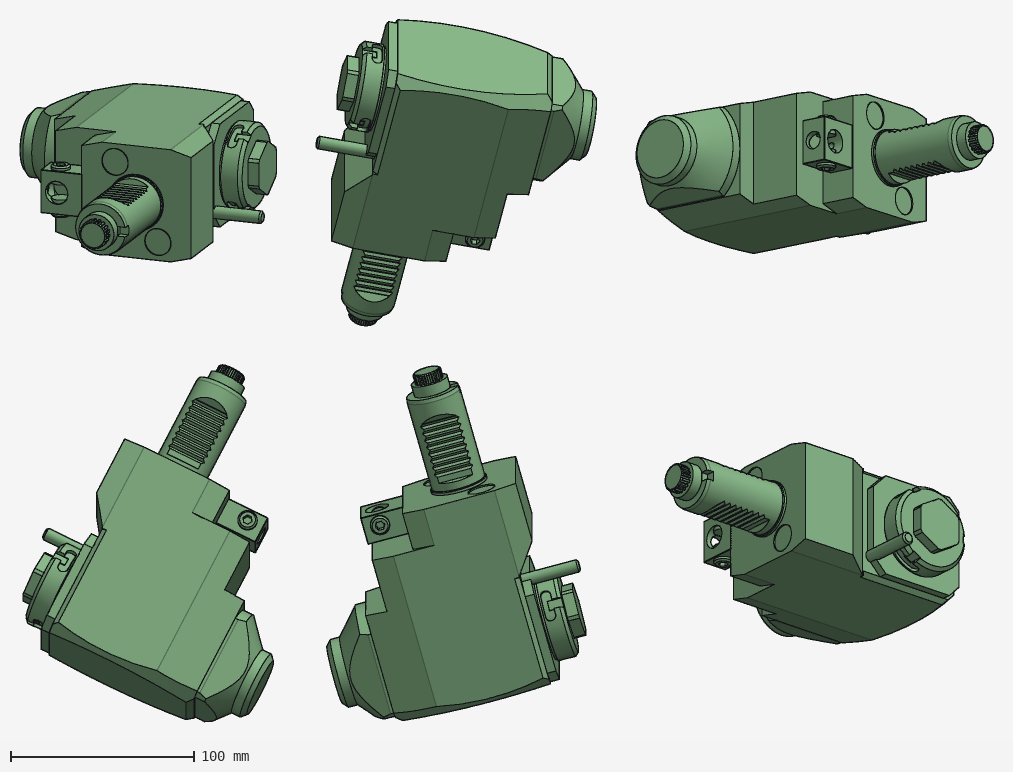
import cadquery as cq
import math


HALF_HEIGHT = 32.0
RIDGE_SLOPE = math.tan(math.radians(15))
BACK_Y = 115.0
SEAT_HALF_WIDTH = 32.0
SEAT_RIDGE_X = 20.0
SEAT_DEPTH = 21.0
LEFT_X = -67.0
MID_LEFT_X = -55.0
LEFT_RIDGE_X = -43.0
MID_STEP_Y = 51.0
RIGHT_X = 20.0
SHOULDER_LOW_Y = 33.7
SHOULDER_HIGH_Y = 50.3
BACK_CORNER = 3.3
RIGHT_BEVEL = 2.7
CROWN_RADIUS = 135.2
CROWN_X = -12.8
CROWN_EDGE_Z = 29.3
CROWN_LENGTH = 20.0
PLUG_RADIUS = 7.6
PLUG_X = 12.5
PLUG_Z = 21.5
PLUG_RECESS = 0.8

SPINDLE_Y = 85.0
HEAD_RADIUS = 34.0
HEAD_RIM_X = -73.0
HEAD_BACK_Y = 110.8
HEAD_STRIP = 1.7
HEAD_STEP = 0.2
NOSE_RADIUS = 19.2
NOSE_BASE_X = -86.0
NOSE_END_X = -94.0
NOSE_CHAMFER = 3.0
NOSE_CHAMFER_DEPTH = 2.8

PLATE_END_X = 25.0
PLATE_HALF_HEIGHT = 29.4
PLATE_FLAT_TOP_Y = 107.7
PLATE_FLAT_BOTTOM_Y = 62.8
PLATE_TOP_Y = 114.6
PLATE_BOTTOM_Y = 53.9
COLLAR_RADIUS = 24.4
COLLAR_END_X = 38.0
COLLAR_CHAMFER = 2.0
RELIEF_WIDTH = 1.2
RELIEF_DEPTH = 1.0
BAYONET_COUNT = 3
BAYONET_FIRST_ANGLE = 30.0
BAYONET_X = 30.0
BAYONET_WIDTH = 5.6
BAYONET_LENGTH = 17.3
BAYONET_DEPTH = 2.0
BAYONET_EXIT_WIDTH = 5.4
BAYONET_EXIT_DEPTH = 2.6
NUT_ACROSS_FLATS = 27.0
NUT_ROUND_RADIUS = 15.0
NUT_END_X = 44.4
PIN_RADIUS = 3.5
PIN_Y = 56.3
PIN_Z = -19.1
PIN_END_X = 52.38
PIN_CHAMFER = 1.0

BLOCK_LEFT_X = -56.0
BLOCK_Y_MIN = 0.6
BLOCK_Y_MAX = 16.0
BLOCK_HALF_HEIGHT = 12.3
BLOCK_EDGE = 0.3
SCREW_X = -46.7
SCREW_Y = 7.0
SCREW_RADIUS = 5.3
SCREW_TOP_Z = 14.6
SCREW_INNER_Z = 4.3
SCREW_CHAMFER = 1.0
SOCKET_WIDTH = 4.6
SOCKET_DEPTH = 4.0
OUTLET_RADIUS = 6.5
OUTLET_DEPTH = 13.0
SIDE_PORT_Y = 8.5
SIDE_PORT_RADIUS = 4.9
FEED_RADIUS = 1.8

RING_RADIUS = 15.8
RING_LENGTH = 1.9
RING_CHAMFER = 0.5
SHANK_RADIUS = 15.0
SHANK_END_Y = -55.0
SHANK_CHAMFER = 0.5
SHANK_CHAMFER_LENGTH = 2.2
NECK_RADIUS = 10.2
NECK_END_Y = -61.3
SPLINE_RADIUS = 7.9
SPLINE_ROOT_RADIUS = 7.0
SPLINE_TEETH = 18
SPLINE_END_Y = -67.0
SPLINE_CHAMFER = 0.9
KEY_HALF_WIDTH = 2.7
KEY_START_Y = -50.8
KEY_FLOOR_X = 9.8
RACK_FLAT_Z = 11.6
RACK_START_Y = -6.8
RACK_START_LEAN = 0.6
RACK_RAMP_Y = -41.4
RACK_GROOVES = 8
RACK_PITCH = 4.0
RACK_FIRST_Y = -11.7
RACK_GROOVE_HALF = 1.4
RACK_GROOVE_DEPTH = 1.2


def cylinder_x(radius, x_start, x_end, y=SPINDLE_Y, z=0.0):
    return cq.Workplane("YZ", origin=(x_start, y, z)).circle(radius).extrude(x_end - x_start)


def cylinder_y(radius, y_start, y_end, x=0.0, z=0.0):
    """Cylinder from y_start towards a lower y_end."""
    return cq.Workplane("XZ", origin=(x, y_start, z)).circle(radius).extrude(y_start - y_end)


def roof_bar(left_x, left_ridge_x, y_min, y_max, drop=0.0):
    """Bar along Y whose roof and floor fall at the ridge slope beyond the two ridges."""
    right_x = SEAT_HALF_WIDTH
    left_z = HALF_HEIGHT - (left_ridge_x - left_x) * RIDGE_SLOPE - drop
    right_z = HALF_HEIGHT - (right_x - SEAT_RIDGE_X) * RIDGE_SLOPE - drop
    top_z = HALF_HEIGHT - drop
    upper = [(left_x, left_z), (left_ridge_x, top_z), (SEAT_RIDGE_X, top_z), (right_x, right_z)]
    lower = [(x, -z) for x, z in reversed(upper)]
    bar = cq.Workplane("XZ", origin=(0, y_max, 0)).polyline(upper + lower).close()
    return bar.extrude(y_max - y_min)


def crown(side):
    """Conical body that bounds the back edge of the roof (side 1) or floor (side -1)."""
    centre_z = side * (CROWN_EDGE_Z - CROWN_RADIUS)
    profile = [
        (0, BACK_Y),
        (CROWN_RADIUS, BACK_Y),
        (CROWN_RADIUS + CROWN_LENGTH, BACK_Y - CROWN_LENGTH),
        (CROWN_RADIUS + CROWN_LENGTH, 0),
        (0, 0),
    ]
    cone = cq.Workplane("XY").polyline(profile).close().revolve(360, (0, 0, 0), (0, 1, 0))
    return cone.translate((CROWN_X, 0, centre_z))


def make_housing():
    outline = [
        (MID_LEFT_X, SEAT_DEPTH),
        (SEAT_HALF_WIDTH, SEAT_DEPTH),
        (SEAT_HALF_WIDTH, SHOULDER_LOW_Y),
        (RIGHT_X, SHOULDER_HIGH_Y),
        (RIGHT_X, BACK_Y),
        (LEFT_X + BACK_CORNER, BACK_Y),
        (LEFT_X, BACK_Y - BACK_CORNER),
        (LEFT_X, MID_STEP_Y),
        (MID_LEFT_X, MID_STEP_Y),
    ]
    plan = cq.Workplane("XY").workplane(offset=-HALF_HEIGHT).polyline(outline).close()
    upper = plan.extrude(2 * HALF_HEIGHT)
    upper = upper.intersect(roof_bar(LEFT_X, LEFT_RIDGE_X, SEAT_DEPTH, BACK_Y))
    for side in (1, -1):
        upper = upper.intersect(crown(side))
        bevel = [
            (RIGHT_X - RIGHT_BEVEL, side * HALF_HEIGHT),
            (RIGHT_X, side * HALF_HEIGHT),
            (RIGHT_X, side * (HALF_HEIGHT - RIGHT_BEVEL)),
        ]
        strip = cq.Workplane("XZ", origin=(0, BACK_Y, 0)).polyline(bevel).close()
        upper = upper.cut(strip.extrude(BACK_Y - MID_STEP_Y))
    seat = roof_bar(-SEAT_HALF_WIDTH, -SEAT_RIDGE_X, 0, SEAT_DEPTH)
    housing = upper.union(seat)
    for side in (1, -1):
        plug = cylinder_y(PLUG_RADIUS, PLUG_RECESS, 0, -side * PLUG_X, side * PLUG_Z)
        housing = housing.cut(plug)
    return housing


def make_head():
    cone_profile = [
        (LEFT_X, 0),
        (LEFT_X, HEAD_RADIUS),
        (HEAD_RIM_X, HEAD_RADIUS),
        (NOSE_BASE_X, NOSE_RADIUS),
        (NOSE_BASE_X, 0),
    ]
    head = cq.Workplane("XY").polyline(cone_profile).close().revolve(360, (0, 0, 0), (1, 0, 0))
    head = head.translate((0, SPINDLE_Y, 0))
    head = head.intersect(roof_bar(NOSE_BASE_X, LEFT_RIDGE_X, 0, HEAD_BACK_Y, HEAD_STEP))
    strip_z = HALF_HEIGHT - HEAD_STEP - (LEFT_RIDGE_X - LEFT_X + HEAD_STRIP) * RIDGE_SLOPE
    slab_height = HALF_HEIGHT - strip_z
    slab = cq.Workplane("XY").box(HEAD_STRIP, BACK_Y, slab_height, centered=False)
    slab = slab.translate((LEFT_X - HEAD_STRIP, 0, strip_z))
    head = head.cut(slab).cut(slab.mirror("XY"))
    nose = cylinder_x(NOSE_RADIUS, NOSE_END_X, NOSE_BASE_X)
    nose = nose.faces("<X").chamfer(NOSE_CHAMFER_DEPTH, NOSE_CHAMFER)
    return head.union(nose)


def make_plate():
    top_z = PLATE_HALF_HEIGHT - (PLATE_TOP_Y - PLATE_FLAT_TOP_Y)
    bottom_z = PLATE_HALF_HEIGHT - (PLATE_FLAT_BOTTOM_Y - PLATE_BOTTOM_Y)
    upper = [
        (PLATE_BOTTOM_Y, bottom_z),
        (PLATE_FLAT_BOTTOM_Y, PLATE_HALF_HEIGHT),
        (PLATE_FLAT_TOP_Y, PLATE_HALF_HEIGHT),
        (PLATE_TOP_Y, top_z),
    ]
    lower = [(y, -z) for y, z in reversed(upper)]
    plate = cq.Workplane("YZ", origin=(RIGHT_X, 0, 0)).polyline(upper + lower).close()
    return plate.extrude(PLATE_END_X - RIGHT_X)


def make_collar():
    collar = cylinder_x(COLLAR_RADIUS, PLATE_END_X, COLLAR_END_X)
    collar = collar.faces(">X").chamfer(COLLAR_CHAMFER)
    relief_end = PLATE_END_X + RELIEF_WIDTH
    relief = cylinder_x(COLLAR_RADIUS, PLATE_END_X, relief_end)
    relief = relief.cut(cylinder_x(COLLAR_RADIUS - RELIEF_DEPTH, PLATE_END_X, relief_end))
    collar = collar.cut(relief)
    core = cylinder_x(COLLAR_RADIUS - BAYONET_DEPTH, PLATE_END_X, COLLAR_END_X)
    pocket_start = COLLAR_RADIUS / 2
    pocket = cq.Workplane("XY", origin=(BAYONET_X, SPINDLE_Y, pocket_start))
    pocket = pocket.slot2D(BAYONET_LENGTH, BAYONET_WIDTH, 90).extrude(COLLAR_RADIUS - pocket_start)
    pocket = pocket.cut(core)
    exit_length = COLLAR_END_X - BAYONET_X
    passage = cq.Workplane("XY").box(
        exit_length, BAYONET_EXIT_WIDTH, BAYONET_EXIT_DEPTH, centered=(False, True, False)
    )
    passage = passage.translate((BAYONET_X, SPINDLE_Y, COLLAR_RADIUS - BAYONET_EXIT_DEPTH))
    axis_start = (0, SPINDLE_Y, 0)
    axis_end = (1, SPINDLE_Y, 0)
    for index in range(BAYONET_COUNT):
        angle = BAYONET_FIRST_ANGLE + index * 360 / BAYONET_COUNT
        for cutter in (pocket, passage):
            collar = collar.cut(cutter.rotate(axis_start, axis_end, angle))
    return collar


def make_nut():
    across_corners = NUT_ACROSS_FLATS / math.cos(math.radians(30))
    nut = cq.Workplane("YZ", origin=(COLLAR_END_X, SPINDLE_Y, 0)).polygon(6, across_corners)
    nut = nut.extrude(NUT_END_X - COLLAR_END_X)
    nut = nut.rotate((0, SPINDLE_Y, 0), (1, SPINDLE_Y, 0), 30)
    return nut.intersect(cylinder_x(NUT_ROUND_RADIUS, COLLAR_END_X, NUT_END_X))


def make_pin():
    pin = cylinder_x(PIN_RADIUS, RIGHT_X, PIN_END_X, PIN_Y, PIN_Z)
    return pin.faces(">X").chamfer(PIN_CHAMFER)


def make_screw(side):
    """Socket screw along Z that closes the upper (side 1) or lower (side -1) block bore."""
    screw = cq.Workplane("XY", origin=(SCREW_X, SCREW_Y, SCREW_INNER_Z)).circle(SCREW_RADIUS)
    screw = screw.extrude(SCREW_TOP_Z - SCREW_INNER_Z).faces(">Z").chamfer(SCREW_CHAMFER)
    socket_corners = SOCKET_WIDTH / math.cos(math.radians(30))
    screw = screw.faces(">Z").workplane().polygon(6, socket_corners).cutBlind(-SOCKET_DEPTH)
    return screw if side > 0 else screw.mirror("XY")


def make_coolant_block():
    length = -SEAT_HALF_WIDTH - BLOCK_LEFT_X
    depth = BLOCK_Y_MAX - BLOCK_Y_MIN
    block = cq.Workplane("XY").box(length, depth, 2 * BLOCK_HALF_HEIGHT, centered=(False, False, True))
    block = block.faces("<X or <Y or >Y").edges("not >X").chamfer(BLOCK_EDGE)
    block = block.translate((BLOCK_LEFT_X, BLOCK_Y_MIN, 0))
    block = block.cut(cylinder_y(OUTLET_RADIUS, BLOCK_Y_MIN + OUTLET_DEPTH, BLOCK_Y_MIN, SCREW_X))
    block = block.cut(cylinder_x(SIDE_PORT_RADIUS, BLOCK_LEFT_X, SCREW_X, SIDE_PORT_Y))
    block = block.cut(cylinder_x(FEED_RADIUS, SCREW_X, -SEAT_HALF_WIDTH, SIDE_PORT_Y))
    for side in (1, -1):
        bore_length = SCREW_TOP_Z - SCREW_INNER_Z
        bore_start = SCREW_INNER_Z if side > 0 else -SCREW_TOP_Z
        bore = cq.Workplane("XY", origin=(SCREW_X, SCREW_Y, bore_start)).circle(SCREW_RADIUS)
        block = block.cut(bore.extrude(bore_length)).union(make_screw(side))
    return block


def make_spline():
    """Toothed end of the drive shaft: straight-sided teeth with a chamfered end."""
    pitch = 2 * math.pi / SPLINE_TEETH
    tooth = [
        (0.0, SPLINE_ROOT_RADIUS),
        (0.4, SPLINE_ROOT_RADIUS),
        (0.5, SPLINE_RADIUS),
        (0.9, SPLINE_RADIUS),
    ]
    points = []
    for index in range(SPLINE_TEETH):
        for fraction, radius in tooth:
            angle = (index + fraction) * pitch
            points.append((radius * math.cos(angle), radius * math.sin(angle)))
    spline = cq.Workplane("XZ", origin=(0, NECK_END_Y, 0)).polyline(points).close()
    spline = spline.extrude(NECK_END_Y - SPLINE_END_Y)
    envelope = cylinder_y(SPLINE_RADIUS, NECK_END_Y, SPLINE_END_Y)
    return spline.intersect(envelope.faces("<Y").chamfer(SPLINE_CHAMFER))


def cut_rack(shank, side):
    """Clamping rack: a flat with a 45 degree run-out and a row of V grooves across it."""
    rise = SHANK_RADIUS - RACK_FLAT_Z
    outline = [
        (RACK_START_Y + RACK_START_LEAN, RACK_FLAT_Z + rise),
        (RACK_START_Y, RACK_FLAT_Z),
        (RACK_RAMP_Y, RACK_FLAT_Z),
        (RACK_RAMP_Y - rise, RACK_FLAT_Z + rise),
    ]
    grooves = []
    for index in range(RACK_GROOVES):
        y = RACK_FIRST_Y - index * RACK_PITCH
        grooves.append([
            (y + RACK_GROOVE_HALF, RACK_FLAT_Z),
            (y, RACK_FLAT_Z - RACK_GROOVE_DEPTH),
            (y - RACK_GROOVE_HALF, RACK_FLAT_Z),
        ])
    for shape in [outline] + grooves:
        points = [(y, side * z) for y, z in shape]
        cutter = cq.Workplane("YZ").polyline(points).close().extrude(SHANK_RADIUS, both=True)
        shank = shank.cut(cutter)
    return shank


def make_shank():
    profile = [
        (0, 0),
        (RING_RADIUS, 0),
        (RING_RADIUS, RING_CHAMFER - RING_LENGTH),
        (RING_RADIUS - RING_CHAMFER, -RING_LENGTH),
        (SHANK_RADIUS, -RING_LENGTH),
        (SHANK_RADIUS, SHANK_END_Y + SHANK_CHAMFER_LENGTH),
        (SHANK_RADIUS - SHANK_CHAMFER, SHANK_END_Y),
        (NECK_RADIUS, SHANK_END_Y),
        (NECK_RADIUS, NECK_END_Y),
        (0, NECK_END_Y),
    ]
    shank = cq.Workplane("XY").polyline(profile).close().revolve(360, (0, 0, 0), (0, 1, 0))
    for side in (1, -1):
        shank = cut_rack(shank, side)
    key_slot = cq.Workplane("XY").box(
        SHANK_RADIUS - KEY_FLOOR_X,
        KEY_START_Y - SHANK_END_Y,
        2 * KEY_HALF_WIDTH,
        centered=(False, False, True),
    )
    shank = shank.cut(key_slot.translate((KEY_FLOOR_X, SHANK_END_Y, 0)))
    return shank.union(make_spline())


result = make_housing()
for feature in (make_head(), make_plate(), make_collar(), make_nut(), make_pin(),
                make_coolant_block(), make_shank()):
    result = result.union(feature)